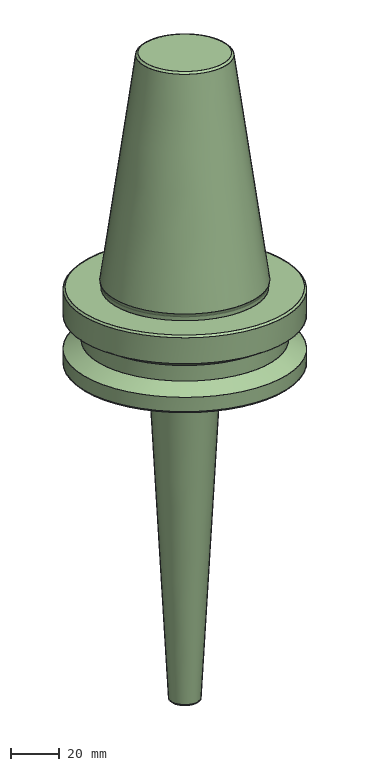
import cadquery as cq

total_length = 289.8

taper_length = 101.7
gauge_diameter = 69.8
gauge_radius = gauge_diameter / 2
taper_ratio = 7 / 24
taper_end_radius = gauge_radius - taper_length * taper_ratio / 2
taper_end_chamfer = 1.0

neck_radius = 34.5
neck_step = 1.5

flange_diameter = 100.0
flange_radius = flange_diameter / 2
flange_top = -3.2
flange_bottom = -38.0
flange_chamfer = 1.0
groove_center = -23.2
groove_mouth_width = 15.0
groove_root_width = 7.0
groove_root_radius = 42.5

nose_collar_diameter = 29.8
nose_collar_radius = nose_collar_diameter / 2
nose_collar_length = 2.5
nose_tip_radius = 6.7
nose_tip_chamfer = 1.0
nose_bottom = taper_length - total_length


def revolve_profile(points):
    """Turn a closed half section of (radius, height) points around Z."""
    return cq.Workplane("XZ").polyline(points).close().revolve(360, (0, 0, 0), (0, 1, 0))


def make_shank():
    return revolve_profile([
        (0, flange_top),
        (neck_radius, flange_top),
        (neck_radius, -neck_step),
        (gauge_radius, 0),
        (taper_end_radius, taper_length),
        (0, taper_length),
    ]).faces(">Z").chamfer(taper_end_chamfer)


def make_flange():
    flange = (
        cq.Workplane("XY", origin=(0, 0, flange_bottom))
        .circle(flange_radius)
        .extrude(flange_top - flange_bottom)
        .edges()
        .chamfer(flange_chamfer)
    )
    groove = revolve_profile([
        (flange_radius, groove_center - groove_mouth_width / 2),
        (groove_root_radius, groove_center - groove_root_width / 2),
        (groove_root_radius, groove_center + groove_root_width / 2),
        (flange_radius, groove_center + groove_mouth_width / 2),
    ])
    return flange.cut(groove)


def make_nose():
    collar_bottom = flange_bottom - nose_collar_length
    return revolve_profile([
        (0, flange_bottom),
        (nose_collar_radius, flange_bottom),
        (nose_collar_radius, collar_bottom),
        (nose_tip_radius, nose_bottom),
        (0, nose_bottom),
    ]).faces("<Z").chamfer(nose_tip_chamfer)


result = make_flange().union(make_shank()).union(make_nose())